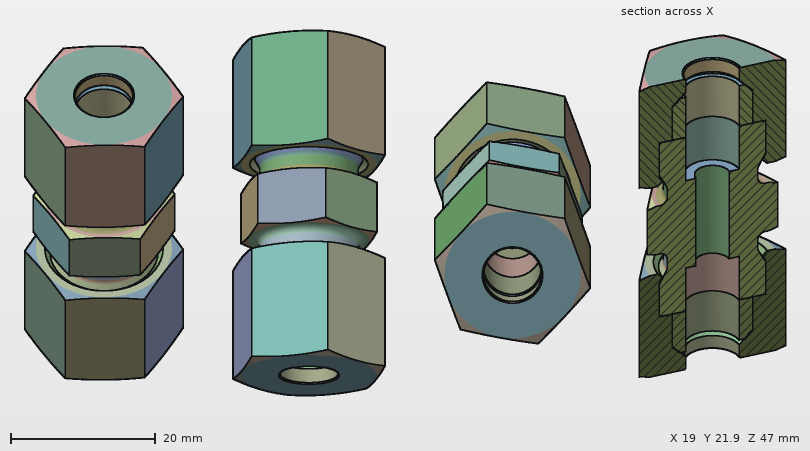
import cadquery as cq
import math

OVERALL_LENGTH = 47.0
HALF_LENGTH = OVERALL_LENGTH / 2
HEX_SIDES = 6
CORNER_SLOPE = math.radians(15)

NUT_FLATS = 19.0
NUT_LENGTH = 16.45
NUT_FACE_DIAMETER = 18.8
NUT_FACE_Z = HALF_LENGTH - NUT_LENGTH
NUT_MOUTH_DIAMETER = 16.35
NUT_MINOR_DIAMETER = 14.4
TUBE_DIAMETER = 8.0
TUBE_HOLE_CHAMFER = 0.2
TUBE_HOLE_DEPTH = 2.15

BODY_FLATS = 16.95
BODY_HEX_LENGTH = 7.9
BODY_FACE_DIAMETER = 16.83
BORE_DIAMETER = 5.0
THREAD_DIAMETER = 16.0
NECK_DIAMETER = 13.7
NECK_FILLET = 1.0
NECK_TOP_FILLET_Z = 6.4
RUNOUT_ANGLE = math.radians(30)
SPIGOT_END_Z = 14.1
TUBE_STOP_DEPTH = 7.0

RING_DIAMETER = 12.0
RING_TOP_GAP = 0.75
SEAT_TOP_Z = HALF_LENGTH - TUBE_HOLE_DEPTH
SEAT_BASE_Z = SEAT_TOP_Z - (RING_DIAMETER - TUBE_DIAMETER) / 2


def cylinder(diameter, z_start, z_end):
    """Solid cylinder along Z."""
    return cq.Workplane("XY").workplane(offset=z_start).circle(diameter / 2).extrude(z_end - z_start)


def cone(start_diameter, end_diameter, z_start, z_end):
    """Solid frustum along Z."""
    profile = [(0, z_start), (start_diameter / 2, z_start), (end_diameter / 2, z_end), (0, z_end)]
    return cq.Workplane("XZ").polyline(profile).close().revolve(360, (0, 0, 0), (0, 1, 0))


def chamfered_hexagon(flats, face_diameter, z_start, z_end):
    """Hexagonal prism with corners on +Y and -Y, both ends turned down to a round face."""
    corners = flats / math.cos(math.pi / HEX_SIDES)
    prism = (
        cq.Workplane("XY").workplane(offset=z_start)
        .transformed(rotate=(0, 0, 90)).polygon(HEX_SIDES, corners).extrude(z_end - z_start)
    )
    chamfer_height = (corners - face_diameter) / 2 * math.tan(CORNER_SLOPE)
    turned_blank = (
        cone(face_diameter, corners, z_start, z_start + chamfer_height)
        .union(cylinder(corners, z_start + chamfer_height, z_end - chamfer_height))
        .union(cone(corners, face_diameter, z_end - chamfer_height, z_end))
    )
    return prism.intersect(turned_blank)


def both_ends(upper):
    """The upper body and its mirror image at the lower end."""
    return [upper, upper.mirror("XY")]


def make_spigot():
    """Upper spigot of the body, with the necked groove next to the hexagon."""
    hex_face_z = BODY_HEX_LENGTH / 2
    neck_radius = NECK_DIAMETER / 2
    thread_radius = THREAD_DIAMETER / 2
    arc_offset = NECK_FILLET * (1 - math.sqrt(0.5))

    def fillet_point(angle):
        """Point on the fillet above the neck, where its tangent leans outward by the angle."""
        radius = neck_radius + NECK_FILLET * (1 - math.cos(angle))
        return radius, NECK_TOP_FILLET_Z + NECK_FILLET * math.sin(angle)

    runout_radius, runout_z = fillet_point(RUNOUT_ANGLE)
    runout_end_z = runout_z + (thread_radius - runout_radius) / math.tan(RUNOUT_ANGLE)
    return (
        cq.Workplane("XZ")
        .moveTo(0, hex_face_z)
        .lineTo(neck_radius + NECK_FILLET, hex_face_z)
        .threePointArc(
            (neck_radius + arc_offset, hex_face_z + arc_offset),
            (neck_radius, hex_face_z + NECK_FILLET),
        )
        .lineTo(neck_radius, NECK_TOP_FILLET_Z)
        .threePointArc(fillet_point(RUNOUT_ANGLE / 2), fillet_point(RUNOUT_ANGLE))
        .lineTo(thread_radius, runout_end_z)
        .lineTo(thread_radius, SPIGOT_END_Z)
        .lineTo(0, SPIGOT_END_Z)
        .close()
        .revolve(360, (0, 0, 0), (0, 1, 0))
    )


def make_body():
    """Central hexagon with a spigot and tube socket at each end and a through bore."""
    half_hex = BODY_HEX_LENGTH / 2
    body = chamfered_hexagon(BODY_FLATS, BODY_FACE_DIAMETER, -half_hex, half_hex)
    socket = cylinder(TUBE_DIAMETER, SPIGOT_END_Z - TUBE_STOP_DEPTH, SPIGOT_END_Z)
    for spigot in both_ends(make_spigot()):
        body = body.union(spigot)
    for tube_socket in both_ends(socket):
        body = body.cut(tube_socket)
    return body.cut(cylinder(BORE_DIAMETER, -SPIGOT_END_Z, SPIGOT_END_Z))


def make_ring_cavity():
    """Space in the upper nut between its tube hole and the body: a 45 degree seat above a straight bore."""
    return cylinder(RING_DIAMETER, SPIGOT_END_Z, SEAT_BASE_Z).union(
        cone(RING_DIAMETER, TUBE_DIAMETER, SEAT_BASE_Z, SEAT_TOP_Z)
    )


def make_nut():
    """Upper union nut; its thread is engaged, so it closes around the thread and runout of the spigot."""
    mouth_depth = (NUT_MOUTH_DIAMETER - NUT_MINOR_DIAMETER) / 2
    chamfered_hole_diameter = TUBE_DIAMETER + 2 * TUBE_HOLE_CHAMFER
    return (
        chamfered_hexagon(NUT_FLATS, NUT_FACE_DIAMETER, NUT_FACE_Z, HALF_LENGTH)
        .cut(cone(NUT_MOUTH_DIAMETER, NUT_MINOR_DIAMETER, NUT_FACE_Z, NUT_FACE_Z + mouth_depth))
        .cut(make_spigot())
        .cut(make_ring_cavity())
        .cut(cylinder(TUBE_DIAMETER, SEAT_TOP_Z, HALF_LENGTH))
        .cut(cone(TUBE_DIAMETER, chamfered_hole_diameter, HALF_LENGTH - TUBE_HOLE_CHAMFER, HALF_LENGTH))
    )


def make_ring():
    """Upper cutting ring, filling the nut's cavity up to its flat top face."""
    ring_top_z = SEAT_TOP_Z - RING_TOP_GAP
    return (
        make_ring_cavity()
        .intersect(cylinder(RING_DIAMETER, SPIGOT_END_Z, ring_top_z))
        .cut(cylinder(TUBE_DIAMETER, SPIGOT_END_Z, ring_top_z))
    )


body = make_body()
nuts = both_ends(make_nut())
rings = both_ends(make_ring())

result = cq.Compound.makeCompound([
    body.val(),
    *[nut.val() for nut in nuts],
    *[ring.val() for ring in rings],
])